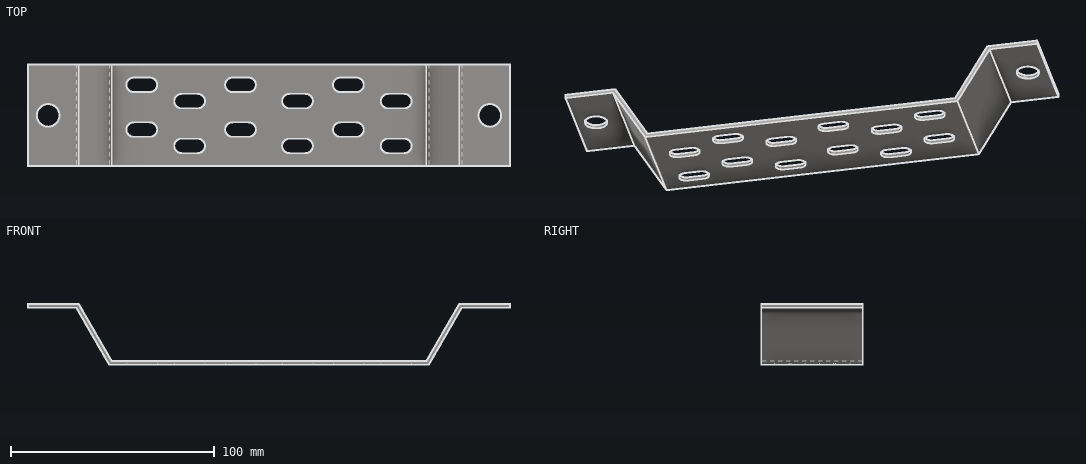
import cadquery as cq
import math

overall_length = 237.0
width = 50.0
height = 30.0
thickness = 2.0
flange_length = 25.0
bend_angle = 60.0

hole_diameter = 11.0
hole_end_distance = 10.0

slot_length = 15.0
slot_width = 7.0
slot_row_pitch = 22.0
slot_row_shift = 4.0
slot_column_positions = (14.0, 39.0, 62.5)

half_length = overall_length / 2
bend_offset = thickness * math.tan(math.radians(bend_angle / 2))
leg_run = (height - thickness) / math.tan(math.radians(bend_angle))


def make_strip():
    """Bent strip with sharp bends and constant thickness, base on Z = 0."""
    upper_bend_x = half_length - flange_length
    base_upper_x = upper_bend_x - leg_run
    left_half = [
        (-base_upper_x, thickness),
        (-upper_bend_x, height),
        (-half_length, height),
        (-half_length, height - thickness),
        (-upper_bend_x - bend_offset, height - thickness),
        (-base_upper_x - bend_offset, 0),
    ]
    right_half = [(-x, z) for x, z in reversed(left_half)]
    return cq.Workplane("XZ").polyline(left_half + right_half).close().extrude(width / 2, both=True)


def make_mounting_holes():
    """Round cutters for the hole in each flange."""
    hole_x = half_length - hole_end_distance
    return (
        cq.Workplane("XY")
        .pushPoints([(-hole_x, 0), (hole_x, 0)])
        .circle(hole_diameter / 2)
        .extrude(height)
    )


def make_slots():
    """Cutters for columns of two slots, shifted alternately up and down along Y."""
    columns = sorted([-x for x in slot_column_positions] + list(slot_column_positions))
    centers = []
    for index, x in enumerate(columns):
        shift = slot_row_shift if index % 2 == 0 else -slot_row_shift
        for row_y in (-slot_row_pitch / 2, slot_row_pitch / 2):
            centers.append((x, row_y + shift))
    return cq.Workplane("XY").pushPoints(centers).slot2D(slot_length, slot_width).extrude(thickness)


result = make_strip().cut(make_mounting_holes()).cut(make_slots())